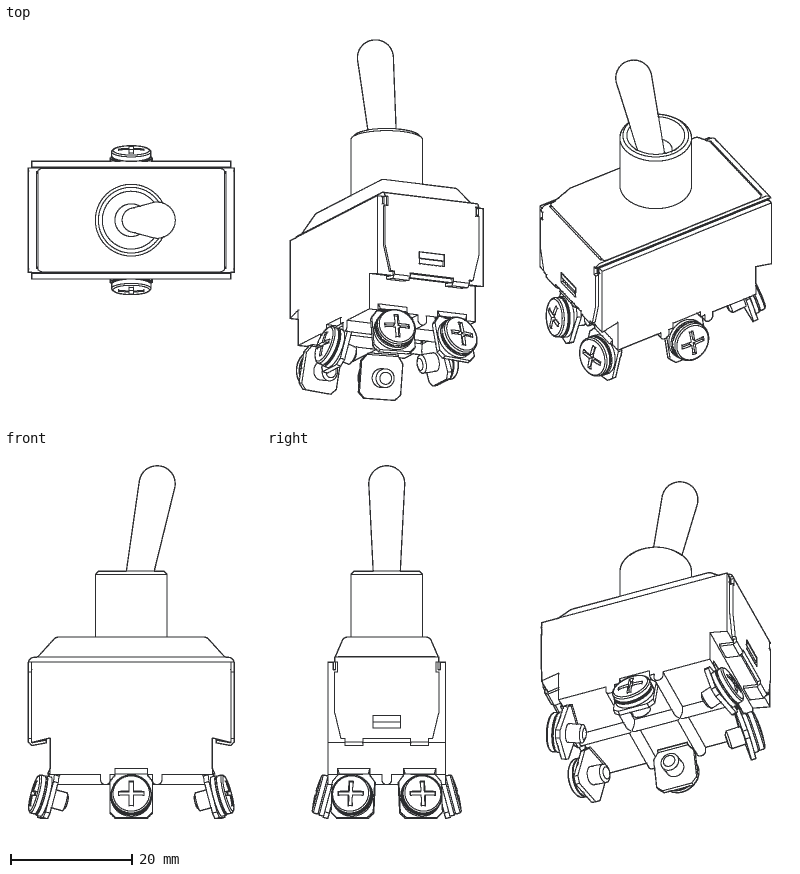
import cadquery as cq
import math


EMBED = 1.0

EAR_X = 16.45
WAIST_X = 13.4
BODY_Y = 9.74
BODY_TOP = -4.15
EAR_INNER_Z = -16.7
EAR_OUTER_Z = -17.45
BODY_BOTTOM = -22.75
BARRIER_RADIUS = 0.78
BARRIER_BOTTOM = -24.4
BARRIER_X = 4.27
GROOVE_INNER_Y = 8.5
GROOVE_OUTER_Y = 8.8
GROOVE_BOTTOM = -5.4

COVER_X = 17.02
COVER_Y = 8.62
SHEET = 0.6
RIM_TOP = -3.35
BEND_RADIUS = 1.0
CROWN_TOP_X = 12.45
CROWN_TOP_Y = 7.1
CROWN_FOOT_X = 15.5
CROWN_FOOT_Y = 8.55
CROWN_FILLET = 1.0
FOOT_STRIP = 0.17
FOOT_STRIP_Y = 8.0
FLANGE_TAPER_Z = -12.4
FLANGE_BOTTOM = -16.8
FLANGE_BOTTOM_Y = 7.55
RELIEF_Y = 8.1
RELIEF_BOTTOM = -5.75
TAB_WIDTH = 2.95
TAB_Y = 5.43
TAB_BOTTOM = -17.95
TAB_TIP_X = 14.0
TAB_TIP_Z = -17.0
TAB_THICKNESS = 0.5
WINDOW_WIDTH = 4.55
WINDOW_TOP = -13.0
WINDOW_STEP = -14.05
WINDOW_BOTTOM = -15.0
WINDOW_TOP_DEPTH = 0.1
WINDOW_BOTTOM_DEPTH = 0.4

BUSHING_RADIUS = 5.93
BUSHING_TOP = 10.85
BUSHING_CHAMFER = 0.5
MOUTH_RADIUS = 4.78
BORE_RADIUS = 5.4 / 2
CONE_DEPTH = 3.0
BORE_BOTTOM = 3.3
LEVER_TILT = 11.0
LEVER_ROOT_RADIUS = 1.85
BALL_RADIUS = 3.0
PIVOT_BALL_RADIUS = 3.25
LEVER_LENGTH = 22.4

TAG_TILT = 15.0
TAG_YAW = 10.0
END_TERMINAL_Y = 5.45
SIDE_TAG_FACE = 8.6
END_TAG_FACE = 13.15
TAG_THICKNESS = 0.8
TAG_HALF_WIDTH = 3.54
TAG_CORNER = 0.95
TAG_SHOULDER = 1.15
TAG_LENGTH = 7.3
NECK_HALF_WIDTH = 2.65
NECK_RISE = 0.15
NECK_BEND = 25.0
NECK_LENGTH = 1.6
SCREW_DROP = 3.75
SHANK_RADIUS = 3.1 / 2
SHANK_TIP_RADIUS = 2.0 / 2
SHANK_LENGTH = 2.8
SHANK_TIP_LENGTH = 0.35
WASHER_RADIUS = 6.73 / 2
WASHER_THICKNESS = 0.75
SPRING_WASHER_RADIUS = 6.2 / 2
SPRING_WASHER_THICKNESS = 0.25
HEAD_RADIUS = 6.53 / 2
HEAD_HEIGHT = 1.03
HEAD_EDGE = 0.25
DOME_HEIGHT = 0.25
CROSS_LENGTH = 4.2
CROSS_WIDTH = 0.68
CROSS_DEPTH = 0.7
SOCKET_DEPTH = 2.2
SOCKET_TOP = -21.7
SHROUD_BOTTOM = -22.6
SHROUD_DEPTH = 0.4
SHROUD_TAPER = 0.25


def block(x0, x1, y0, y1, z0, z1):
    """Axis-aligned box given by its limits."""
    return cq.Workplane("XY").box(x1 - x0, y1 - y0, z1 - z0, centered=False).translate((x0, y0, z0))


def on_both_ends(shape):
    """Add the half-turn copy of a shape about the Z axis."""
    return shape.union(shape.rotate((0, 0, 0), (0, 0, 1), 180))


def barrier(length):
    """Rib along X under the housing with a fully round bottom edge."""
    tangent_z = BARRIER_BOTTOM + BARRIER_RADIUS
    return (
        cq.Workplane("YZ")
        .moveTo(-BARRIER_RADIUS, BODY_BOTTOM + EMBED)
        .lineTo(-BARRIER_RADIUS, tangent_z)
        .threePointArc((0, BARRIER_BOTTOM), (BARRIER_RADIUS, tangent_z))
        .lineTo(BARRIER_RADIUS, BODY_BOTTOM + EMBED)
        .close()
        .extrude(length / 2, both=True)
    )


def housing():
    outline = [
        (-EAR_X, BODY_TOP),
        (-EAR_X, EAR_OUTER_Z),
        (-WAIST_X, EAR_INNER_Z),
        (-WAIST_X, BODY_BOTTOM),
        (WAIST_X, BODY_BOTTOM),
        (WAIST_X, EAR_INNER_Z),
        (EAR_X, EAR_OUTER_Z),
        (EAR_X, BODY_TOP),
    ]
    body = cq.Workplane("XZ").polyline(outline).close().extrude(BODY_Y, both=True)
    body = body.union(barrier(2 * WAIST_X))
    cross_barrier = barrier(2 * BODY_Y).rotate((0, 0, 0), (0, 0, 1), 90)
    for x in (-BARRIER_X, BARRIER_X):
        body = body.union(cross_barrier.translate((x, 0, 0)))
    return body


def crown():
    """Raised pyramid-shaped middle of the cover with rounded upper edges."""
    shape = (
        cq.Workplane("XY", origin=(0, 0, RIM_TOP))
        .rect(2 * CROWN_FOOT_X, 2 * CROWN_FOOT_Y)
        .workplane(offset=-RIM_TOP)
        .rect(2 * CROWN_TOP_X, 2 * CROWN_TOP_Y)
        .loft(ruled=True)
    )
    return shape.edges("not <Z").fillet(CROWN_FILLET)


def foot_bevel():
    """Narrow bevel where the -X slope of the crown meets the flat rim."""
    slope = math.atan2(-RIM_TOP, CROWN_FOOT_X - CROWN_TOP_X)
    upper = (-CROWN_FOOT_X + FOOT_STRIP * math.cos(slope), RIM_TOP + FOOT_STRIP * math.sin(slope))
    outline = [(-CROWN_FOOT_X - FOOT_STRIP, RIM_TOP), (-CROWN_FOOT_X, RIM_TOP), upper]
    return cq.Workplane("XZ").polyline(outline).close().extrude(FOOT_STRIP_Y, both=True)


def end_flange():
    """Plate on the -X end, tapered at its lower corners."""
    outline = [
        (-COVER_Y, RIM_TOP),
        (-COVER_Y, FLANGE_TAPER_Z),
        (-FLANGE_BOTTOM_Y, FLANGE_BOTTOM),
        (FLANGE_BOTTOM_Y, FLANGE_BOTTOM),
        (COVER_Y, FLANGE_TAPER_Z),
        (COVER_Y, RIM_TOP),
    ]
    return (
        cq.Workplane("YZ", origin=(-COVER_X, 0, 0))
        .polyline(outline)
        .close()
        .extrude(COVER_X - EAR_X + SHEET / 2)
    )


def bent_tab():
    """Tab below the -X flange, folded inward under the ear."""
    outline = [
        (-COVER_X, FLANGE_BOTTOM),
        (-COVER_X, TAB_BOTTOM + SHEET),
        (-COVER_X + SHEET, TAB_BOTTOM),
        (-TAB_TIP_X, TAB_TIP_Z - TAB_THICKNESS),
        (-TAB_TIP_X, TAB_TIP_Z),
        (-COVER_X + SHEET, TAB_BOTTOM + TAB_THICKNESS),
        (-COVER_X + SHEET, FLANGE_BOTTOM),
    ]
    return cq.Workplane("XZ").polyline(outline).close().extrude(TAB_WIDTH / 2, both=True)


def cover():
    slab = block(-COVER_X, COVER_X, -COVER_Y, COVER_Y, BODY_TOP - SHEET, RIM_TOP)
    shape = slab.union(on_both_ends(end_flange()))
    shape = shape.edges("|Y and >Z").fillet(BEND_RADIUS)
    for y in (-TAB_Y, TAB_Y):
        shape = shape.union(on_both_ends(bent_tab()).translate((0, y, 0)))
    return shape.union(crown()).union(on_both_ends(foot_bevel()))


def flange_window():
    """Cutter for the latch window in the -X flange."""
    outline = [
        (-2 * COVER_X, WINDOW_TOP),
        (-COVER_X + WINDOW_TOP_DEPTH, WINDOW_TOP),
        (-COVER_X + WINDOW_TOP_DEPTH, WINDOW_STEP),
        (-COVER_X + WINDOW_BOTTOM_DEPTH, WINDOW_STEP),
        (-COVER_X + WINDOW_BOTTOM_DEPTH, WINDOW_BOTTOM),
        (-2 * COVER_X, WINDOW_BOTTOM),
    ]
    return cq.Workplane("XZ").polyline(outline).close().extrude(WINDOW_WIDTH / 2, both=True)


def cover_cuts():
    """Side grooves, corner reliefs and flange windows."""
    far = 2 * COVER_X
    cuts = block(-far, far, GROOVE_INNER_Y, GROOVE_OUTER_Y, GROOVE_BOTTOM, BODY_TOP)
    cuts = cuts.union(block(-far, -EAR_X, RELIEF_Y, GROOVE_OUTER_Y, RELIEF_BOTTOM, BODY_TOP))
    cuts = cuts.union(block(EAR_X, far, RELIEF_Y, GROOVE_OUTER_Y, RELIEF_BOTTOM, BODY_TOP))
    cuts = on_both_ends(cuts)
    return cuts.union(on_both_ends(flange_window()))


def bushing():
    post = cq.Workplane("XY", origin=(0, 0, RIM_TOP)).circle(BUSHING_RADIUS).extrude(BUSHING_TOP - RIM_TOP)
    post = post.faces(">Z").edges().chamfer(BUSHING_CHAMFER)
    bore = (
        cq.Workplane("XZ")
        .moveTo(0, BORE_BOTTOM)
        .lineTo(BORE_RADIUS, BORE_BOTTOM)
        .lineTo(BORE_RADIUS, BUSHING_TOP - CONE_DEPTH)
        .lineTo(MOUTH_RADIUS, BUSHING_TOP)
        .lineTo(0, BUSHING_TOP)
        .close()
        .revolve(360, (0, 0, 0), (0, 1, 0))
    )
    return post.cut(bore)


def lever():
    """Tapered handle with a round end and a pivot ball, tilted about the pivot."""
    handle = (
        cq.Workplane("XZ")
        .moveTo(0, -EMBED)
        .lineTo(LEVER_ROOT_RADIUS, -EMBED)
        .lineTo(BALL_RADIUS, LEVER_LENGTH)
        .threePointArc(
            (BALL_RADIUS * math.sqrt(0.5), LEVER_LENGTH + BALL_RADIUS * math.sqrt(0.5)),
            (0, LEVER_LENGTH + BALL_RADIUS),
        )
        .close()
        .revolve(360, (0, 0, 0), (0, 1, 0))
    )
    handle = handle.union(cq.Workplane("XY").sphere(PIVOT_BALL_RADIUS))
    return handle.rotate((0, 0, 0), (0, 1, 0), LEVER_TILT).translate((0, 0, BORE_BOTTOM))


def screw():
    """Screw with washers, axis along -Y; the outer tag face is at Y = 0."""
    washer_face = WASHER_THICKNESS
    head_base = washer_face + SPRING_WASHER_THICKNESS
    head_top = head_base + HEAD_HEIGHT
    tip = TAG_THICKNESS + SHANK_LENGTH
    dome_edge = HEAD_RADIUS - HEAD_EDGE
    dome_top = head_top + DOME_HEIGHT
    dome_radius = (dome_edge**2 + DOME_HEIGHT**2) / (2 * DOME_HEIGHT)
    dome_middle_x = dome_edge / 2
    dome_middle = (dome_middle_x, dome_radius - dome_top - math.sqrt(dome_radius**2 - dome_middle_x**2))
    profile = (
        cq.Workplane("XY")
        .moveTo(0, tip)
        .lineTo(SHANK_TIP_RADIUS, tip)
        .lineTo(SHANK_RADIUS, tip - SHANK_TIP_LENGTH)
        .lineTo(SHANK_RADIUS, 0)
        .lineTo(WASHER_RADIUS, 0)
        .lineTo(WASHER_RADIUS, -washer_face)
        .lineTo(SPRING_WASHER_RADIUS, -washer_face)
        .lineTo(SPRING_WASHER_RADIUS, -head_base)
        .lineTo(HEAD_RADIUS, -head_base)
        .lineTo(HEAD_RADIUS, -head_top + HEAD_EDGE)
        .lineTo(dome_edge, -head_top)
        .threePointArc(dome_middle, (0, -dome_top))
        .close()
    )
    shape = profile.revolve(360, (0, 0, 0), (0, 1, 0))
    slot = cq.Workplane("XY").box(CROSS_LENGTH, 2 * CROSS_DEPTH, CROSS_WIDTH).translate((0, -dome_top, 0))
    return shape.cut(slot).cut(slot.rotate((0, 0, 0), (0, 1, 0), 90))


def terminal():
    """Tag and screw facing -Y; the origin is on the tag face at the housing bottom."""
    half_outline = [
        (NECK_HALF_WIDTH, NECK_RISE),
        (NECK_HALF_WIDTH, 0),
        (TAG_HALF_WIDTH, -TAG_SHOULDER),
        (TAG_HALF_WIDTH, TAG_CORNER - TAG_LENGTH),
        (TAG_HALF_WIDTH - TAG_CORNER, -TAG_LENGTH),
    ]
    mirrored = [(-x, z) for x, z in reversed(half_outline)]
    tag = cq.Workplane("XZ").polyline(half_outline + mirrored).close().extrude(-TAG_THICKNESS)
    neck = block(-NECK_HALF_WIDTH, NECK_HALF_WIDTH, 0, TAG_THICKNESS, 0, NECK_LENGTH)
    neck = neck.rotate((0, 0, 0), (1, 0, 0), -NECK_BEND).translate((0, 0, NECK_RISE))
    assembly = tag.union(neck).union(screw().translate((0, 0, -SCREW_DROP)))
    return assembly.rotate((0, 0, 0), (1, 0, 0), -TAG_TILT)


def side_socket():
    """Opening in the -Y wall that exposes the neck of the side tag."""
    return block(-NECK_HALF_WIDTH, NECK_HALF_WIDTH, -BODY_Y, SOCKET_DEPTH - BODY_Y, BODY_BOTTOM, SOCKET_TOP)


def end_shroud():
    """Wedge on the -X wall above an end tag, narrowing outward."""
    outer_half = NECK_HALF_WIDTH - SHROUD_TAPER
    wedge = (
        cq.Workplane("XZ")
        .moveTo(-WAIST_X, SOCKET_TOP)
        .lineTo(-WAIST_X - SHROUD_DEPTH, SHROUD_BOTTOM)
        .lineTo(-WAIST_X, SHROUD_BOTTOM)
        .close()
        .extrude(NECK_HALF_WIDTH, both=True)
    )
    plan = [
        (-WAIST_X, -NECK_HALF_WIDTH),
        (-WAIST_X - SHROUD_DEPTH, -outer_half),
        (-WAIST_X - SHROUD_DEPTH, outer_half),
        (-WAIST_X, NECK_HALF_WIDTH),
    ]
    limit = (
        cq.Workplane("XY", origin=(0, 0, SHROUD_BOTTOM))
        .polyline(plan)
        .close()
        .extrude(SOCKET_TOP - SHROUD_BOTTOM)
    )
    return wedge.intersect(limit)


def end_terminal(side):
    """Terminal on the -X end, splayed toward the given Y side (+1 or -1)."""
    facing_end = terminal().rotate((0, 0, 0), (0, 0, 1), -90 - side * TAG_YAW)
    placed = facing_end.translate((-END_TAG_FACE, side * END_TERMINAL_Y, BODY_BOTTOM))
    return placed.union(end_shroud().translate((0, side * END_TERMINAL_Y, 0)))


part = housing().union(cover()).cut(cover_cuts()).cut(on_both_ends(side_socket()))
part = part.union(bushing()).union(lever())
part = part.union(on_both_ends(terminal().translate((0, -SIDE_TAG_FACE, BODY_BOTTOM))))
for side in (-1, 1):
    part = part.union(on_both_ends(end_terminal(side)))

result = part